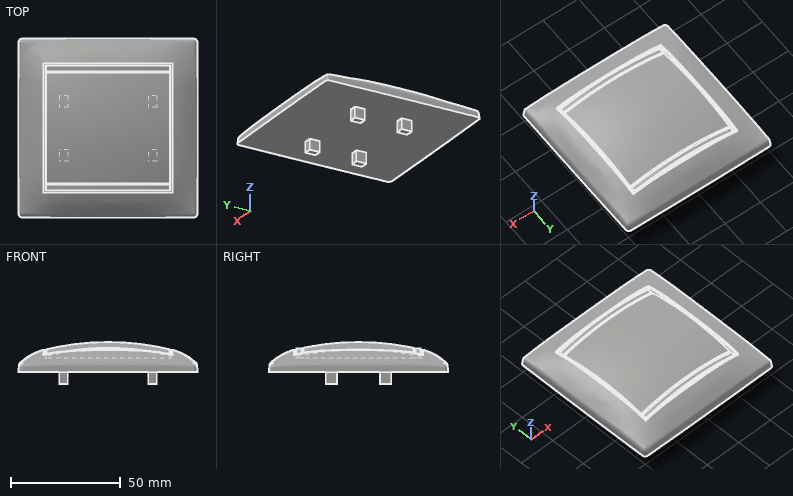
import cadquery as cq
import math

side = 82.0
total_height = 19.28
post_length = 5.5
crown_z = total_height - post_length

side_bow = 0.18
corner_radius = 1.8
rim_radius = 2.0
rim_band = 0.8
edge_margin = 0.1
draft = 0.4
rim_z = 3.9
pillow_rise = 8.6
pillow_power = 4.3
corner_sag = 0.5
pillow_half = side / 2 - draft
grid_steps = 28
grid_overhang = 1.0

opening = 57.4
mouth = 59.0
mouth_depth = 0.35
opening_floor_z = 6.5
root_overlap = 1.0
insert_base_z = opening_floor_z - root_overlap

crown_radius = 120.0
insert_x = 56.2
insert_y = 56.6
rocker_y = 50.3
rail_gap = 0.8
rail_crown_z = 10.85

post_x = 4.0
post_y = 5.3
post_spacing_x = 40.5
post_spacing_y = 24.7


def bowed_square():
    """Footprint with each side an arc bulging outward by side_bow."""
    middle = side / 2
    corner = middle - side_bow
    return (
        cq.Workplane("XY")
        .moveTo(-corner, -corner)
        .threePointArc((0, -middle), (corner, -corner))
        .threePointArc((middle, 0), (corner, corner))
        .threePointArc((0, middle), (-corner, corner))
        .threePointArc((-middle, 0), (-corner, -corner))
        .close()
    )


def pillow_below(drop):
    """Solid under the pillow surface lowered by drop, reaching well below z = 0."""

    def surface_point(x, y):
        x_square = (x / pillow_half) ** 2
        y_square = (y / pillow_half) ** 2
        falloff = (1 - x_square ** (pillow_power / 2)) * (1 - y_square ** (pillow_power / 2))
        sag = 1 - corner_sag * x_square * y_square
        return cq.Vector(x, y, rim_z - drop + pillow_rise * falloff * sag)

    reach = side / 2 + grid_overhang
    stations = [reach * (2 * i / grid_steps - 1) for i in range(grid_steps + 1)]
    grid = [[surface_point(x, y) for y in stations] for x in stations]
    surface = cq.Face.makeSplineApprox(grid, tol=0.01, minDeg=3, maxDeg=5)
    return cq.Workplane(cq.Solid.extrudeLinear(surface, cq.Vector(0, 0, -total_height)))


def square_block(size_x, size_y, bottom_z):
    """Centred block from bottom_z up past the crown."""
    return (
        cq.Workplane("XY")
        .workplane(offset=bottom_z)
        .rect(size_x, size_y)
        .extrude(total_height - bottom_z)
    )


def between(low_z, high_z):
    """Selector for edges whose middle lies between two heights."""
    return cq.selectors.BoxSelector((-side, -side, low_z), (side, side, high_z))


def make_frame():
    taper = math.degrees(math.atan2(draft, rim_z))
    blank = bowed_square().extrude(crown_z, taper=taper)
    rounded_blank = blank.edges(between(edge_margin, crown_z - edge_margin)).fillet(corner_radius)
    pillow = rounded_blank.intersect(pillow_below(0))
    frame = pillow.edges(between(rim_z - rim_band, rim_z + rim_band)).fillet(rim_radius)
    mouth_step = square_block(mouth, mouth, opening_floor_z).cut(pillow_below(mouth_depth))
    well = square_block(opening, opening, opening_floor_z)
    return frame.cut(mouth_step).cut(well)


def make_rocker():
    ball = cq.Workplane("XY").sphere(crown_radius).translate((0, 0, crown_z - crown_radius))
    return square_block(insert_x, rocker_y, insert_base_z).intersect(ball)


def make_rails():
    barrel = (
        cq.Workplane("XZ")
        .center(0, rail_crown_z - crown_radius)
        .circle(crown_radius)
        .extrude(insert_y / 2, both=True)
    )
    inner_y = rocker_y + 2 * rail_gap
    band = square_block(insert_x, insert_y, insert_base_z)
    return band.cut(square_block(side, inner_y, insert_base_z)).intersect(barrel)


def make_posts():
    return (
        cq.Workplane("XY")
        .workplane(offset=root_overlap)
        .rect(post_spacing_x, post_spacing_y, forConstruction=True)
        .vertices()
        .rect(post_x, post_y)
        .extrude(-post_length - root_overlap)
    )


result = make_frame().union(make_rocker()).union(make_rails()).union(make_posts())